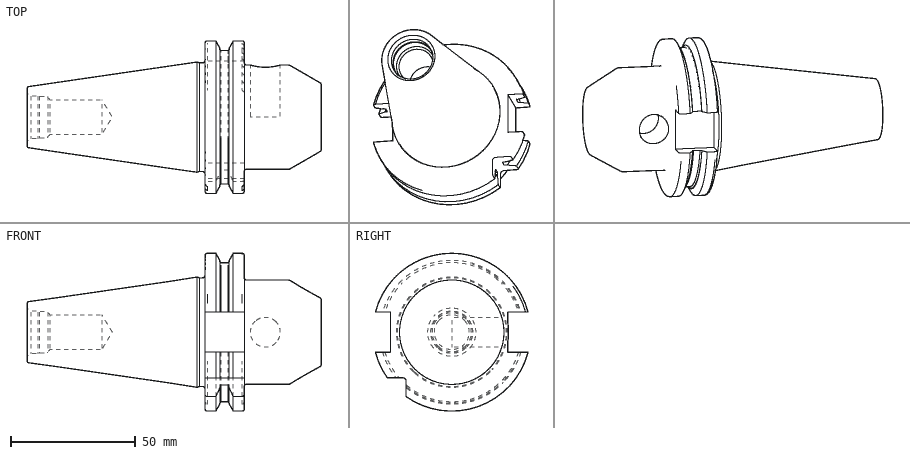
import cadquery as cq
import math

TAPER_END_X = -68.25
NOSE_END_X = 50.0

GAUGE_RADIUS = 44.45 / 2
TAPER_SLOPE = 7 / 48
TAPER_END_ROUND = 0.7
RELIEF_RADIUS = 21.9
RELIEF_CHAMFER_LENGTH = 1.0

FLANGE_START_X = 3.2
FLANGE_END_X = 19.1
FLANGE_RADIUS = 63.55 / 2
FLANGE_ROUND = 1.0
SHANK_ROOT_ROUND = 1.0

GROOVE_CENTER_X = 11.1
GROOVE_MOUTH_WIDTH = 7.0
GROOVE_FLOOR_WIDTH = 3.75
GROOVE_FLOOR_RADIUS = 28.05
GROOVE_WALL_ANGLE = 30.0
GROOVE_FLOOR_ROUND = 0.55

SLOT_WIDTH = 16.1
SLOT_FLOOR_PLUS_Y = 22.6
SLOT_FLOOR_MINUS_Y = 24.7
NOTCH_OFFSET = 18.4
NOTCH_ROUND = 1.3

BODY_RADIUS = 21.0
BODY_ROOT_ROUND = 0.8
NOSE_RADIUS = 13.6
NOSE_ANGLE = 30.0
NOSE_SHOULDER_ROUND = 1.5
NOSE_END_ROUND = 0.8

SCREW_HOLE_X = 27.5
SCREW_HOLE_RADIUS = 6.0

MOUTH_RADIUS = 9.7
MOUTH_CHAMFER = 0.2
MOUTH_CONE_DEPTH = 1.45
PILOT_RADIUS = 8.5
PILOT_DEPTH = 4.4
PILOT_STEP = 0.15
PILOT_STEP_LENGTH = 0.45
THREAD_DEPTH = 8.3
THREAD_END_ROUND = 0.5
CORE_RADIUS = 7.0
CORE_DEPTH = 30.0
DRILL_TIP_HALF_ANGLE = 59.0

CUTTER_OVERRUN = 1.0
EDGE_TOLERANCE = 0.01


def revolve_about_x(outline):
    """Revolve a closed (x, radius) outline about the X axis."""
    return outline.close().revolve(360, (0, 0, 0), (1, 0, 0))


def round_circle(solid, x, radius, size):
    """Round the full circular edge of the given radius at axial position x."""
    edges = []
    for edge in solid.edges("%CIRCLE").vals():
        same_place = abs(edge.Center().x - x) < EDGE_TOLERANCE
        same_radius = abs(edge.radius() - radius) < EDGE_TOLERANCE
        if same_place and same_radius:
            edges.append(edge)
    return solid.newObject(edges).fillet(size)


def make_shank():
    end_radius = GAUGE_RADIUS + TAPER_SLOPE * TAPER_END_X
    outline = (
        cq.Workplane("XY")
        .moveTo(TAPER_END_X, 0)
        .lineTo(TAPER_END_X, end_radius)
        .lineTo(0, GAUGE_RADIUS)
        .lineTo(RELIEF_CHAMFER_LENGTH, RELIEF_RADIUS)
        .lineTo(FLANGE_START_X, RELIEF_RADIUS)
        .lineTo(FLANGE_START_X, 0)
    )
    return round_circle(revolve_about_x(outline), TAPER_END_X, end_radius, TAPER_END_ROUND)


def make_flange():
    outline = (
        cq.Workplane("XY")
        .moveTo(FLANGE_START_X, 0)
        .lineTo(FLANGE_START_X, FLANGE_RADIUS)
        .lineTo(FLANGE_END_X, FLANGE_RADIUS)
        .lineTo(FLANGE_END_X, 0)
    )
    flange = revolve_about_x(outline)
    for x in (FLANGE_START_X, FLANGE_END_X):
        flange = round_circle(flange, x, FLANGE_RADIUS, FLANGE_ROUND)
    return flange


def make_nose():
    shoulder_x = NOSE_END_X - (BODY_RADIUS - NOSE_RADIUS) / math.tan(math.radians(NOSE_ANGLE))
    outline = (
        cq.Workplane("XY")
        .moveTo(FLANGE_END_X, 0)
        .lineTo(FLANGE_END_X, BODY_RADIUS)
        .lineTo(shoulder_x, BODY_RADIUS)
        .lineTo(NOSE_END_X, NOSE_RADIUS)
        .lineTo(NOSE_END_X, 0)
    )
    nose = revolve_about_x(outline)
    nose = round_circle(nose, shoulder_x, BODY_RADIUS, NOSE_SHOULDER_ROUND)
    return round_circle(nose, NOSE_END_X, NOSE_RADIUS, NOSE_END_ROUND)


def make_groove_cutter():
    half_mouth = GROOVE_MOUTH_WIDTH / 2
    half_floor = GROOVE_FLOOR_WIDTH / 2
    wall_depth = (half_mouth - half_floor) / math.tan(math.radians(GROOVE_WALL_ANGLE))
    wall_end_radius = FLANGE_RADIUS - wall_depth
    outside_radius = FLANGE_RADIUS + CUTTER_OVERRUN
    outline = (
        cq.Workplane("XY")
        .moveTo(GROOVE_CENTER_X - half_mouth, outside_radius)
        .lineTo(GROOVE_CENTER_X - half_mouth, FLANGE_RADIUS)
        .lineTo(GROOVE_CENTER_X - half_floor, wall_end_radius)
        .lineTo(GROOVE_CENTER_X - half_floor, GROOVE_FLOOR_RADIUS)
        .lineTo(GROOVE_CENTER_X + half_floor, GROOVE_FLOOR_RADIUS)
        .lineTo(GROOVE_CENTER_X + half_floor, wall_end_radius)
        .lineTo(GROOVE_CENTER_X + half_mouth, FLANGE_RADIUS)
        .lineTo(GROOVE_CENTER_X + half_mouth, outside_radius)
    )
    cutter = revolve_about_x(outline)
    for side in (-1, 1):
        x = GROOVE_CENTER_X + side * half_floor
        cutter = round_circle(cutter, x, GROOVE_FLOOR_RADIUS, GROOVE_FLOOR_ROUND)
    return cutter


def flange_block(y_inner, y_outer, z_low, z_high):
    """Box over the full flange thickness between the given Y and Z limits."""
    thickness = FLANGE_END_X - FLANGE_START_X
    center_x = (FLANGE_START_X + FLANGE_END_X) / 2
    center_y = (y_inner + y_outer) / 2
    center_z = (z_low + z_high) / 2
    block = cq.Workplane("XY").box(thickness, abs(y_outer - y_inner), z_high - z_low)
    return block.translate((center_x, center_y, center_z))


def cut_slots_and_notch(flange):
    """Cut the two drive slots (unequal depths) and the corner notch through the flange."""
    half_width = SLOT_WIDTH / 2
    flange = flange.cut(flange_block(SLOT_FLOOR_PLUS_Y, FLANGE_RADIUS, -half_width, half_width))
    flange = flange.cut(flange_block(-SLOT_FLOOR_MINUS_Y, -FLANGE_RADIUS, -half_width, half_width))
    notch = flange_block(-NOTCH_OFFSET, -FLANGE_RADIUS, -FLANGE_RADIUS, -NOTCH_OFFSET)
    notch = notch.edges("|X").edges(">Y and >Z").fillet(NOTCH_ROUND)
    return flange.cut(notch)


def make_bore():
    thread_radius = PILOT_RADIUS - PILOT_STEP
    core_lead_in_radius = thread_radius - THREAD_END_ROUND
    core_start_depth = THREAD_DEPTH + core_lead_in_radius - CORE_RADIUS
    tip_length = CORE_RADIUS / math.tan(math.radians(DRILL_TIP_HALF_ANGLE))
    outline = (
        cq.Workplane("XY", origin=(TAPER_END_X, 0, 0))
        .lineTo(0, MOUTH_RADIUS)
        .lineTo(MOUTH_CHAMFER, MOUTH_RADIUS - MOUTH_CHAMFER)
        .lineTo(MOUTH_CONE_DEPTH, PILOT_RADIUS)
        .lineTo(PILOT_DEPTH, PILOT_RADIUS)
        .lineTo(PILOT_DEPTH + PILOT_STEP_LENGTH, thread_radius)
        .lineTo(THREAD_DEPTH - THREAD_END_ROUND, thread_radius)
        .tangentArcPoint((THREAD_DEPTH, core_lead_in_radius), relative=False)
        .lineTo(core_start_depth, CORE_RADIUS)
        .lineTo(CORE_DEPTH, CORE_RADIUS)
        .lineTo(CORE_DEPTH + tip_length, 0)
    )
    return revolve_about_x(outline)


def make_screw_hole():
    """Blind radial hole entering from +Y and ending at the axis."""
    return (
        cq.Workplane("XZ", origin=(SCREW_HOLE_X, 0, 0))
        .circle(SCREW_HOLE_RADIUS)
        .extrude(-(BODY_RADIUS + CUTTER_OVERRUN))
    )


body = make_shank().union(make_flange()).union(make_nose())
body = round_circle(body, FLANGE_START_X, RELIEF_RADIUS, SHANK_ROOT_ROUND)
body = round_circle(body, FLANGE_END_X, BODY_RADIUS, BODY_ROOT_ROUND)
body = body.cut(make_groove_cutter())
body = cut_slots_and_notch(body)
body = body.cut(make_bore())
result = body.cut(make_screw_hole())